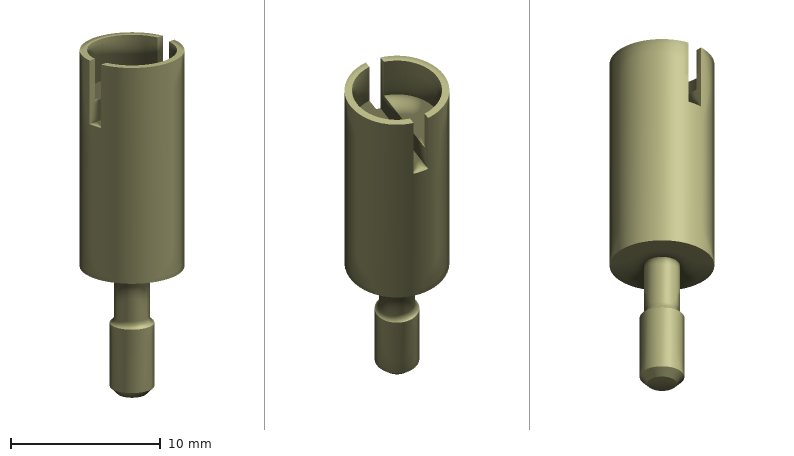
import cadquery as cq
import math

total_height = 24.3
body_height = 15.3
body_diameter = 7.0
body_bottom = total_height - body_height

neck_diameter = 2.4
pin_diameter = 3.0
tip_diameter = 2.0
tip_chamfer_height = 0.5
pin_shoulder = 5.0
shoulder_fillet_radius = 0.5

recess_diameter = 6.0
recess_depth = 3.0
slot_width = 1.1
slot_depth = 4.5


def make_turned_blank():
    """Revolve the half outline of the pin and body about Z."""
    neck_radius = neck_diameter / 2
    pin_radius = pin_diameter / 2
    body_radius = body_diameter / 2

    fillet_center_radius = neck_radius + shoulder_fillet_radius
    fillet_angle = math.acos((fillet_center_radius - pin_radius) / shoulder_fillet_radius)
    fillet_top = pin_shoulder + shoulder_fillet_radius * math.sin(fillet_angle)
    fillet_middle = (
        fillet_center_radius - shoulder_fillet_radius * math.cos(fillet_angle / 2),
        fillet_top - shoulder_fillet_radius * math.sin(fillet_angle / 2),
    )

    return (
        cq.Workplane("XZ")
        .lineTo(tip_diameter / 2, 0)
        .lineTo(pin_radius, tip_chamfer_height)
        .lineTo(pin_radius, pin_shoulder)
        .threePointArc(fillet_middle, (neck_radius, fillet_top))
        .lineTo(neck_radius, body_bottom)
        .lineTo(body_radius, body_bottom)
        .lineTo(body_radius, total_height)
        .lineTo(0, total_height)
        .close()
        .revolve(360, (0, 0), (0, 1))
    )


def make_recess():
    """Round blind recess in the top face."""
    floor = total_height - recess_depth
    return cq.Workplane("XY").workplane(offset=floor).circle(recess_diameter / 2).extrude(recess_depth)


def make_slot():
    """Slot along Y across the full body, deeper than the recess."""
    floor = total_height - slot_depth
    return cq.Workplane("XY").workplane(offset=floor).rect(slot_width, body_diameter).extrude(slot_depth)


result = make_turned_blank().cut(make_recess()).cut(make_slot())